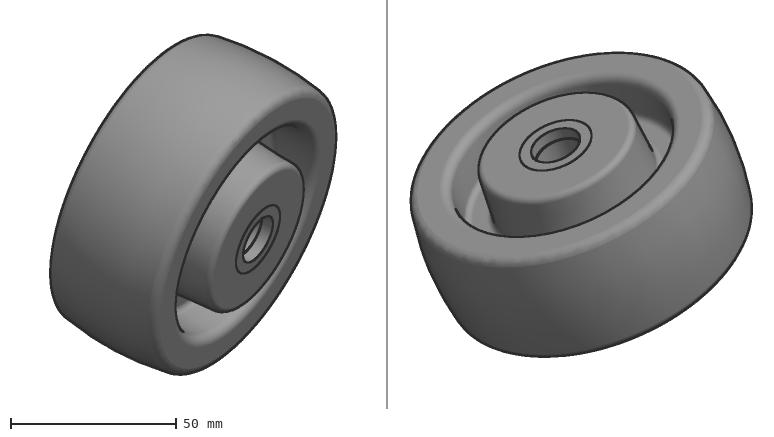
import cadquery as cq

WHEEL_RADIUS = 50.0
RIM_HALF_WIDTH = 20.0
TREAD_EDGE_DROP = 2.0
TREAD_FILLET = 3.0

WEB_HALF_WIDTH = 5.0
RECESS_MOUTH_RADIUS = 35.4
RECESS_FLOOR_RADIUS = 34.9
RIM_MOUTH_FILLET = 3.0
RECESS_FLOOR_FILLET = 2.0

HUB_HALF_WIDTH = 24.0
HUB_FACE_RADIUS = 25.1
HUB_ROOT_RADIUS = 26.4
HUB_FILLET = 2.0

SEAT_RADIUS = 11.5
BUSHING_BORE_RADIUS = 7.8
SPACER_BORE_RADIUS = 7.5
BUSHING_LENGTH = 4.0
SPACER_HALF_WIDTH = HUB_HALF_WIDTH - BUSHING_LENGTH


def revolve_about_x(profile):
    """Revolve a closed (x, radius) profile about the X axis."""
    return profile.close().revolve(360, (0, 0, 0), (1, 0, 0))


def tube(start_x, length, outer_radius, inner_radius):
    """Tube along +X starting at start_x."""
    plane = cq.Workplane("YZ", origin=(start_x, 0, 0))
    return plane.circle(outer_radius).circle(inner_radius).extrude(length)


def circle_edge(x, radius):
    """Selector for the circular edge of the given radius at x."""
    margin = 0.1
    outside = radius + margin
    inside = radius - margin
    large = cq.selectors.BoxSelector(
        (x - margin, -outside, -outside), (x + margin, outside, outside), boundingbox=True
    )
    small = cq.selectors.BoxSelector(
        (x - margin, -inside, -inside), (x + margin, inside, inside), boundingbox=True
    )
    return large - small


def make_wheel():
    """Crowned rim, web and hub in one piece, bored for the bearing parts."""
    tread_edge_radius = WHEEL_RADIUS - TREAD_EDGE_DROP
    wheel = revolve_about_x(
        cq.Workplane("XY")
        .moveTo(-RIM_HALF_WIDTH, tread_edge_radius)
        .threePointArc((0, WHEEL_RADIUS), (RIM_HALF_WIDTH, tread_edge_radius))
        .lineTo(RIM_HALF_WIDTH, RECESS_MOUTH_RADIUS)
        .lineTo(WEB_HALF_WIDTH, RECESS_FLOOR_RADIUS)
        .lineTo(WEB_HALF_WIDTH, HUB_ROOT_RADIUS)
        .lineTo(HUB_HALF_WIDTH, HUB_FACE_RADIUS)
        .lineTo(HUB_HALF_WIDTH, SEAT_RADIUS)
        .lineTo(-HUB_HALF_WIDTH, SEAT_RADIUS)
        .lineTo(-HUB_HALF_WIDTH, HUB_FACE_RADIUS)
        .lineTo(-WEB_HALF_WIDTH, HUB_ROOT_RADIUS)
        .lineTo(-WEB_HALF_WIDTH, RECESS_FLOOR_RADIUS)
        .lineTo(-RIM_HALF_WIDTH, RECESS_MOUTH_RADIUS)
    )
    rounded_corners = [
        (RIM_HALF_WIDTH, tread_edge_radius, TREAD_FILLET),
        (RIM_HALF_WIDTH, RECESS_MOUTH_RADIUS, RIM_MOUTH_FILLET),
        (WEB_HALF_WIDTH, RECESS_FLOOR_RADIUS, RECESS_FLOOR_FILLET),
        (WEB_HALF_WIDTH, HUB_ROOT_RADIUS, HUB_FILLET),
        (HUB_HALF_WIDTH, HUB_FACE_RADIUS, HUB_FILLET),
    ]
    for x, radius, fillet in rounded_corners:
        for side in (-1, 1):
            wheel = wheel.edges(circle_edge(side * x, radius)).fillet(fillet)
    return wheel


def make_bushing(start_x):
    """Bushing pressed into one end of the hub."""
    return tube(start_x, BUSHING_LENGTH, SEAT_RADIUS, BUSHING_BORE_RADIUS)


def make_spacer():
    """Spacer tube between the bushings, with a slightly tighter bore."""
    return tube(-SPACER_HALF_WIDTH, 2 * SPACER_HALF_WIDTH, SEAT_RADIUS, SPACER_BORE_RADIUS)


wheel = make_wheel()
spacer = make_spacer()
bushings = [make_bushing(start_x) for start_x in (-HUB_HALF_WIDTH, SPACER_HALF_WIDTH)]

result = cq.Compound.makeCompound(
    [wheel.val(), spacer.val(), *[bushing.val() for bushing in bushings]]
)